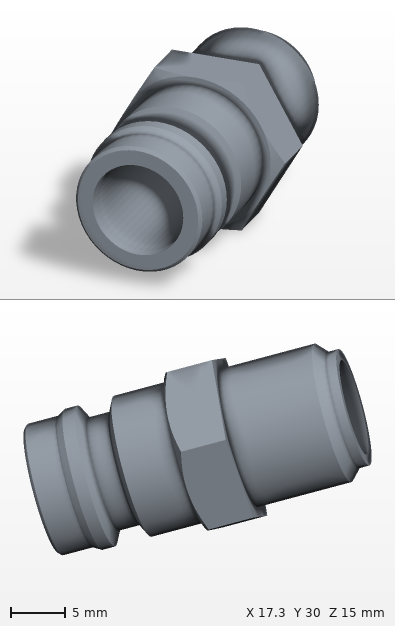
import cadquery as cq
import math

total_length = 30.0
bore_diameter = 9.0

nose_diameter = 12.55
nose_chamfer = 0.3
nose_end = 3.2
collar_diameter = 13.45
collar_start = 4.0
collar_end = 5.2
neck_diameter = 10.8
neck_start = 5.9
neck_end = 8.0
body_start = 8.7

hex_sides = 6
hex_across_flats = 15.0
hex_start = 14.0
hex_end = 19.0
hex_chamfer_angle = 30.0

shank_diameter = 13.2
shank_end = 28.0
tip_diameter = 11.1
tip_start = 29.0


def revolve_about_y(points):
    """Revolve a closed (radius, Y) outline a full turn about the Y axis."""
    return cq.Workplane("XY").polyline(points).close().revolve(360, (0, 0, 0), (0, 1, 0))


def turned_body():
    nose_radius = nose_diameter / 2
    collar_radius = collar_diameter / 2
    neck_radius = neck_diameter / 2
    shank_radius = shank_diameter / 2
    tip_radius = tip_diameter / 2
    return revolve_about_y([
        (0, 0),
        (nose_radius - nose_chamfer, 0),
        (nose_radius, nose_chamfer),
        (nose_radius, nose_end),
        (collar_radius, collar_start),
        (collar_radius, collar_end),
        (neck_radius, neck_start),
        (neck_radius, neck_end),
        (collar_radius, body_start),
        (collar_radius, hex_start),
        (shank_radius, hex_start),
        (shank_radius, shank_end),
        (tip_radius, tip_start),
        (tip_radius, total_length),
        (0, total_length),
    ])


def chamfered_hexagon():
    """Hexagon with corners on the X axis, its front corners trimmed by a cone."""
    flat_radius = hex_across_flats / 2
    corner_radius = flat_radius / math.cos(math.pi / hex_sides)
    hex_length = hex_end - hex_start
    prism = (
        cq.Workplane("XZ", origin=(0, hex_end, 0))
        .polygon(hex_sides, 2 * corner_radius)
        .extrude(hex_length)
    )
    cone_radius = 2 * flat_radius
    cone_depth = (cone_radius - flat_radius) * math.tan(math.radians(hex_chamfer_angle))
    envelope = revolve_about_y([
        (0, hex_start),
        (flat_radius, hex_start),
        (cone_radius, hex_start + cone_depth),
        (cone_radius, hex_end),
        (0, hex_end),
    ])
    return prism.intersect(envelope)


def through_bore():
    return cq.Workplane("XZ", origin=(0, total_length, 0)).circle(bore_diameter / 2).extrude(total_length)


result = turned_body().union(chamfered_hexagon()).cut(through_bore())